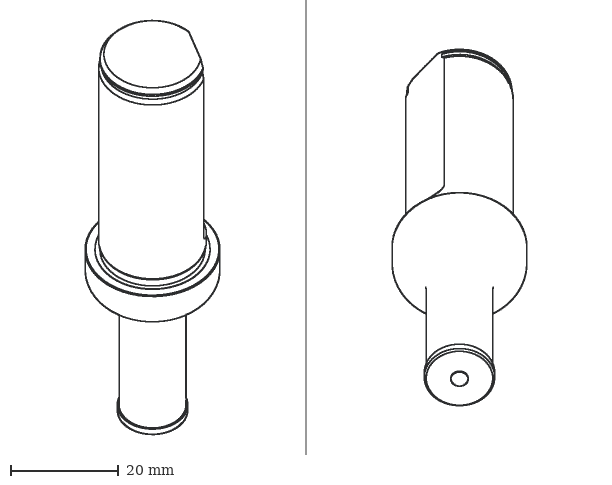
import cadquery as cq
import math

total_height = 92.0

pin_diameter = 3.2
pin_length = 6.4
pin_protrusion = 0.3

stem_radius = 12.4 / 2
collar_radius = 6.5
collar_top = 2.0
collar_chamfer = 0.4

flange_radius = 25.0 / 2
flange_top = 41.95
flange_bottom = 36.7
flange_chamfer = 0.2
transition_bottom = 29.0
cone_angle = math.radians(33)

recess_radius = 10.7
recess_depth = 0.1

shank_radius = 20.0 / 2
neck_radius = 19.5 / 2
shank_bottom = 43.9
neck_top = 43.4
groove_radius = 9.6
groove_cone_bottom = 88.5
groove_bottom = 89.6
groove_top = 90.5
head_radius = neck_radius
head_chamfer_height = 1.0
top_face_radius = 9.0

flat_y = 8.2
flat_runout_radius = 2.8
flat_runout_z = 48.3


def arc_middle(radial_center, z_center, arc_radius, angle):
    """Point on an arc at the given angle from the radial direction."""
    return (
        radial_center + arc_radius * math.cos(angle),
        z_center + arc_radius * math.sin(angle),
    )


def make_turned_blank():
    """Revolve the stem, flange and shank as one profile."""
    cone_drop = (flange_radius - stem_radius) * math.tan(cone_angle)
    tangent_length = (flange_bottom - transition_bottom - cone_drop) / 2
    turn_angle = math.pi / 2 - cone_angle
    arc_radius = tangent_length / math.tan(turn_angle / 2)
    lower_center = stem_radius + arc_radius
    upper_center = flange_radius - arc_radius

    lower_middle = arc_middle(lower_center, transition_bottom, arc_radius, math.pi - turn_angle / 2)
    lower_end = arc_middle(lower_center, transition_bottom, arc_radius, math.pi - turn_angle)
    upper_start = arc_middle(upper_center, flange_bottom, arc_radius, -turn_angle)
    upper_middle = arc_middle(upper_center, flange_bottom, arc_radius, -turn_angle / 2)

    profile = (
        cq.Workplane("XZ")
        .moveTo(0, pin_protrusion)
        .lineTo(collar_radius - collar_chamfer, pin_protrusion)
        .lineTo(collar_radius, pin_protrusion + collar_chamfer)
        .lineTo(collar_radius, collar_top)
        .lineTo(stem_radius, collar_top)
        .lineTo(stem_radius, transition_bottom)
        .threePointArc(lower_middle, lower_end)
        .lineTo(*upper_start)
        .threePointArc(upper_middle, (flange_radius, flange_bottom))
        .lineTo(flange_radius, flange_top - flange_chamfer)
        .lineTo(flange_radius - flange_chamfer, flange_top)
        .lineTo(recess_radius, flange_top)
        .lineTo(recess_radius, flange_top - recess_depth)
        .lineTo(neck_radius, flange_top - recess_depth)
        .lineTo(neck_radius, neck_top)
        .lineTo(shank_radius, shank_bottom)
        .lineTo(shank_radius, groove_cone_bottom)
        .lineTo(groove_radius, groove_bottom)
        .lineTo(groove_radius, groove_top)
        .lineTo(head_radius, groove_top)
        .lineTo(head_radius, total_height - head_chamfer_height)
        .lineTo(top_face_radius, total_height)
        .lineTo(0, total_height)
        .close()
    )
    return profile.revolve(360, (0, 0), (0, 1))


def make_flat_cutter():
    """Block beyond the flat, ending in the round run-out."""
    cutter_width = 2 * shank_radius
    flat_height = total_height - flat_runout_z
    block = cq.Workplane("XY").box(
        cutter_width, flat_runout_radius, flat_height, centered=(True, False, False)
    ).translate((0, flat_y, flat_runout_z))
    runout = (
        cq.Workplane("YZ", origin=(-cutter_width / 2, 0, 0))
        .center(flat_y + flat_runout_radius, flat_runout_z)
        .circle(flat_runout_radius)
        .extrude(cutter_width)
    )
    return block.union(runout)


def make_pin():
    """Plain cylindrical pin whose tip stands out below the collar."""
    return cq.Workplane("XY").circle(pin_diameter / 2).extrude(pin_length)


pin = make_pin()
holder = make_turned_blank().cut(make_flat_cutter()).cut(pin)

result = cq.Compound.makeCompound([holder.val(), pin.val()])